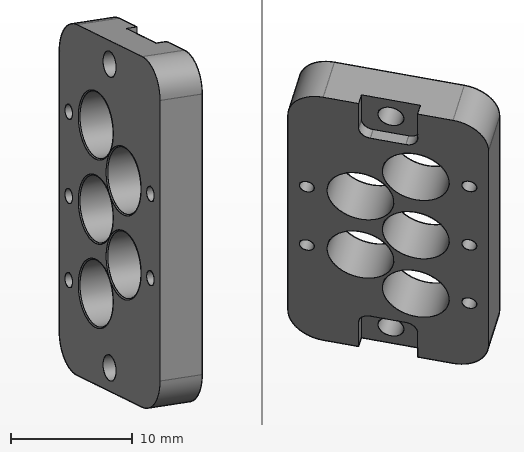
import cadquery as cq

width = 17.0
height = 30.0
thickness = 4.0
corner_radius = 3.0

bore_diameter = 5.65
bore_chamfer = 0.105
chamfer_angle = 45
bore_column_x = 2.35
bore_pitch = 7.2

pin_diameter = 1.25
pin_column_x = 6.87

screw_diameter = 2.2
screw_offset_z = 13.0
relief_width = 4.98
relief_depth = 1.0
relief_corner_radius = 1.0

left_rows = [-bore_pitch, 0, bore_pitch]
right_rows = [-bore_pitch / 2, bore_pitch / 2]

bore_centres = [(-bore_column_x, z) for z in left_rows] + [(bore_column_x, z) for z in right_rows]
pin_centres = [(-pin_column_x, z) for z in left_rows] + [(pin_column_x, z) for z in right_rows]
screw_centres = [(0, -screw_offset_z), (0, screw_offset_z)]


def through_cylinders(centres, diameter):
    """Cylinders along Y that span the plate thickness."""
    return cq.Workplane("XZ").pushPoints(centres).circle(diameter / 2).extrude(-thickness)


def bore_countersinks():
    """Cones that break the front edge of every bore."""
    return (
        cq.Workplane("XZ")
        .pushPoints(bore_centres)
        .circle(bore_diameter / 2 + bore_chamfer)
        .extrude(-bore_chamfer, taper=chamfer_angle)
    )


def screw_relief(side):
    """Back-face pocket open at the top (side = 1) or bottom (side = -1) end."""
    edge_distance = height / 2 - screw_offset_z
    pocket_length = 2 * edge_distance
    return (
        cq.Workplane("XZ", origin=(0, thickness, 0))
        .center(0, side * height / 2)
        .rect(relief_width, 2 * pocket_length)
        .extrude(relief_depth)
        .edges("|Y")
        .fillet(relief_corner_radius)
    )


plate = cq.Workplane("XZ").rect(width, height).extrude(-thickness).edges("|Y").fillet(corner_radius)

result = (
    plate.cut(through_cylinders(bore_centres, bore_diameter))
    .cut(bore_countersinks())
    .cut(through_cylinders(pin_centres, pin_diameter))
    .cut(through_cylinders(screw_centres, screw_diameter))
    .cut(screw_relief(1))
    .cut(screw_relief(-1))
)